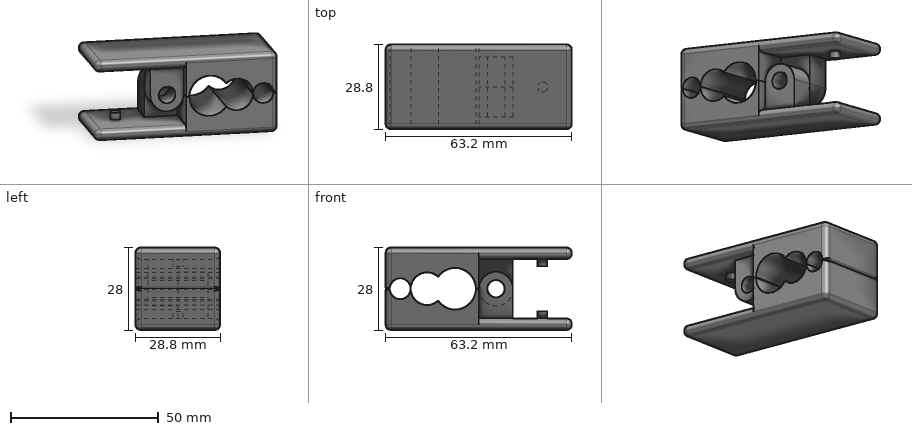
import cadquery as cq

length = 63.2
width = 28.8
height = 28.0
half_height = height / 2

plate_thickness = 4.0
edge_radius = plate_thickness / 2
plate_inside = half_height - plate_thickness

block_length = 31.7
block_height = half_height - edge_radius

grip_holes = [(5.0, 7.0), (14.1, 11.0), (23.6, 14.0)]

nose_round = 0.65
nose_groove_end = 1.6
throat_relief_height = 0.15
throat_overlap = 0.15
throat_relief_end = 31.2

lug_width = 11.5
lug_radius = lug_width / 2
lug_x = block_length + lug_radius
lug_inset = 4.2
lug_side = -width / 2 + lug_inset
lug_thickness = -lug_side
hinge_diameter = 5.8

pin_x = length - 10.0
pin_diameter = 3.4
pin_height = 2.4


def y_cylinder(x, diameter, y_start, y_length):
    """Cylinder along +Y, centred on the parting plane."""
    circle = cq.Workplane("XZ", origin=(x, y_start, 0)).circle(diameter / 2)
    return circle.extrude(-y_length)


def parting_wedge(x_open, x_tip, half_opening):
    """Triangular prism across the full width, tapering from x_open to x_tip."""
    profile = cq.Workplane("XZ", origin=(0, -width / 2, 0)).polyline(
        [(x_open, -half_opening), (x_tip, 0), (x_open, half_opening)]
    )
    return profile.close().extrude(-width)


def make_plate():
    """Flat core rimmed by round bars, with a ball at each corner."""
    mid_z = -half_height + edge_radius
    core_length = length - 2 * edge_radius
    core_width = width - 2 * edge_radius
    near_x = edge_radius
    far_x = length - edge_radius
    core = cq.Workplane().box(core_length, core_width, plate_thickness, centered=(False, True, True))
    plate = core.translate((near_x, 0, mid_z))
    for side_y in (-core_width / 2, core_width / 2):
        bar = cq.Workplane("YZ", origin=(near_x, side_y, mid_z)).circle(edge_radius).extrude(core_length)
        plate = plate.union(bar)
    for end_x in (near_x, far_x):
        bar = cq.Workplane("XZ", origin=(end_x, -core_width / 2, mid_z)).circle(edge_radius)
        plate = plate.union(bar.extrude(-core_width))
        for corner_y in (-core_width / 2, core_width / 2):
            ball = cq.Workplane(origin=(end_x, corner_y, mid_z)).sphere(edge_radius)
            plate = plate.union(ball)
    return plate


def make_block():
    """Block with rounded nose corners and a groove fading out round the nose."""
    block = cq.Workplane().box(block_length, width, block_height, centered=(False, True, False))
    block = block.translate((0, 0, -block_height))
    block = block.edges("|Z and <X").fillet(edge_radius)
    rounded = block.faces(">Z").edges("<X").fillet(nose_round)
    grooved = block.cut(parting_wedge(0, nose_groove_end, nose_round))
    return rounded.union(grooved)


def make_lug():
    lug_depth = plate_inside + edge_radius
    post = cq.Workplane().box(lug_width, lug_thickness, lug_depth, centered=(True, False, False))
    post = post.translate((lug_x, lug_side, -lug_depth))
    lug = post.union(y_cylinder(lug_x, lug_width, lug_side, lug_thickness))
    return lug.cut(y_cylinder(lug_x, hinge_diameter, lug_side, lug_thickness))


def make_pin():
    base = -plate_inside - edge_radius
    pin = cq.Workplane("XY", origin=(pin_x, 0, base)).circle(pin_diameter / 2)
    return pin.extrude(edge_radius + pin_height)


def make_jaw():
    """Lower jaw: block and plate in one piece, with its lug and pin."""
    jaw = make_block().union(make_plate())
    for hole_x, hole_diameter in grip_holes:
        jaw = jaw.cut(y_cylinder(hole_x, hole_diameter, -width / 2, width))
    last_x, last_diameter = grip_holes[-1]
    throat_open = last_x + last_diameter / 2 - throat_overlap
    jaw = jaw.cut(parting_wedge(throat_open, throat_relief_end, throat_relief_height))
    return jaw.union(make_lug()).union(make_pin())


jaws = []
for turn in (0, 180):
    jaws.append(make_jaw().rotate((0, 0, 0), (1, 0, 0), turn))

result = cq.Compound.makeCompound([jaw.val() for jaw in jaws])